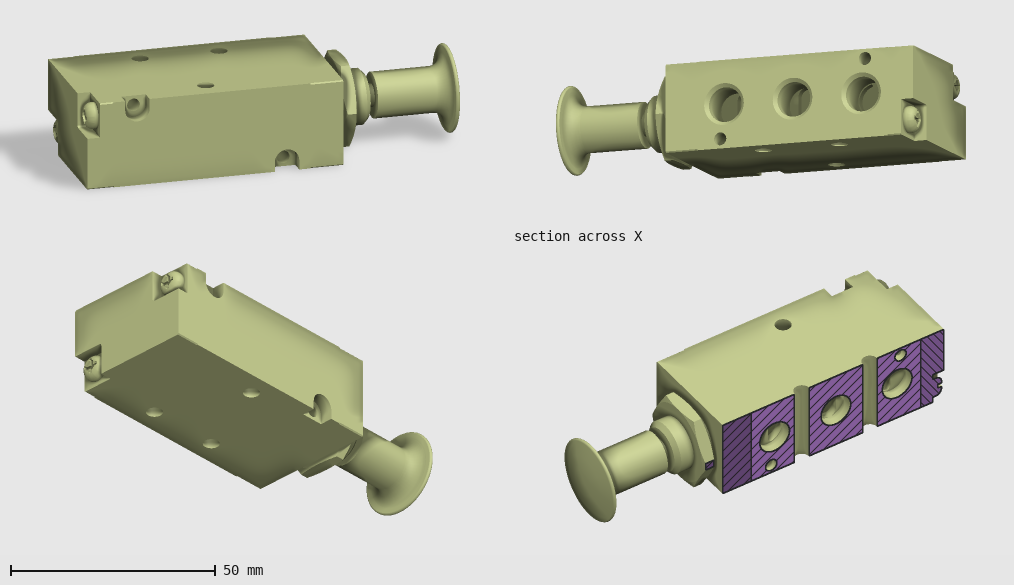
import cadquery as cq
import math


WIDTH = 35.0
HEIGHT = 22.0
FRONT_CAP_LENGTH = 6.7
BODY_LENGTH = 50.0
REAR_CAP_LENGTH = 8.3
CAP_EDGE_CHAMFER = 0.3

BODY_FRONT = FRONT_CAP_LENGTH
BODY_REAR = BODY_FRONT + BODY_LENGTH
CAP_REAR = BODY_REAR + REAR_CAP_LENGTH
BODY_MIDDLE = (BODY_FRONT + BODY_REAR) / 2
AXIS_Z = HEIGHT / 2
LEFT = -WIDTH / 2
RIGHT = WIDTH / 2

PORT_DIAMETER = 8.6
PORT_MOUTH_DIAMETER = 10.4
PORT_DEPTH = 9.0
PORT_PITCH = 18.0
PASSAGE_WIDTH = 4.0
PASSAGE_DEPTH = 2.0
OUTER_PASSAGE_REACH = 4.0
OUTER_PASSAGE_OFFSET = PASSAGE_WIDTH / 2

MOUNT_DIAMETER = 4.2
MOUNT_PAIR_PITCH = 20.0
MOUNT_LEFT_X = LEFT + 6.0
MOUNT_RIGHT_X = RIGHT - 5.8

CROSS_DIAMETER = 3.2
CROSS_BORE_DIAMETER = 6.2
CROSS_BORE_DEPTH = 3.5
CROSS_PITCH_Y = 38.0
CROSS_EDGE_DISTANCE = 2.4

POCKET_SIZE = 8.8
POCKET_DEPTH = 3.2
POCKET_FILLET = 0.6
SCREW_EDGE_DISTANCE = 4.5
SCREW_HEAD_DIAMETER = 6.6
SCREW_HEAD_HEIGHT = 2.7
SCREW_HEAD_FILLET = 1.9
CROSS_SLOT_LENGTH = 4.1
CROSS_SLOT_WIDTH = 0.9
CROSS_SLOT_DEPTH = 1.2
DRIVE_CORE_DEPTH = 0.6

NECK_DIAMETER = 14.0
NECK_LENGTH = 10.3
NECK_CHAMFER = 1.2
NUT_ACROSS_FLATS = 21.0
NUT_THICKNESS = 3.3
NUT_GAP = 2.1
NUT_CHAMFER_ANGLE = 20.0

STEM_DIAMETER = 5.7
STEM_LENGTH = 1.9
GRIP_DIAMETER = 11.5
KNOB_DIAMETER = 22.0
GRIP_LENGTH = 18.4
RIM_THICKNESS = 1.0
DOME_HEIGHT = 1.7
GRIP_FLARE_RADIUS = 3.4
RIM_FILLET = 0.4


def end_cap(rear_y, length):
    """Block with chamfered long edges, reaching forward from rear_y."""
    block = cq.Workplane("XZ", origin=(0, rear_y, AXIS_Z)).rect(WIDTH, HEIGHT).extrude(length)
    return block.edges("|Y").chamfer(CAP_EDGE_CHAMFER)


def cylinder_along_x(x, y, z, diameter, length):
    return cq.Workplane("YZ", origin=(x, y, z)).circle(diameter / 2).extrude(length)


def cylinder_along_y(y, diameter, length):
    return cq.Workplane("XZ", origin=(0, y, AXIS_Z)).circle(diameter / 2).extrude(-length)



def port_cutter(y, passage_offset, passage_reach):
    """Port with a chamfered mouth and, in its floor, a passage kept within a given radius."""
    port = cylinder_along_x(LEFT, y, AXIS_Z, PORT_DIAMETER, PORT_DEPTH)
    mouth_depth = (PORT_MOUTH_DIAMETER - PORT_DIAMETER) / 2
    mouth = cq.Solid.makeCone(
        PORT_MOUTH_DIAMETER / 2,
        PORT_DIAMETER / 2,
        mouth_depth,
        pnt=cq.Vector(LEFT, y, AXIS_Z),
        dir=cq.Vector(1, 0, 0),
    )
    floor_x = LEFT + PORT_DEPTH
    slot = (
        cq.Workplane("YZ", origin=(floor_x, y + passage_offset, AXIS_Z))
        .slot2D(PORT_DIAMETER, PASSAGE_WIDTH, 90)
        .extrude(PASSAGE_DEPTH)
    )
    reach_limit = cylinder_along_x(floor_x, y, AXIS_Z, 2 * passage_reach, PASSAGE_DEPTH)
    return port.union(cq.Workplane(mouth)).union(slot.intersect(reach_limit))


def cross_hole_cutter(y, z, nearest_face_z):
    """Through hole with a U-shaped counterbore that opens into the nearest flat face."""
    bore_start = RIGHT - CROSS_BORE_DEPTH
    hole = cylinder_along_x(LEFT, y, z, CROSS_DIAMETER, WIDTH)
    bore = cylinder_along_x(bore_start, y, z, CROSS_BORE_DIAMETER, CROSS_BORE_DEPTH)
    opening = (
        cq.Workplane("YZ", origin=(bore_start, y, (z + nearest_face_z) / 2))
        .rect(CROSS_BORE_DIAMETER, CROSS_EDGE_DISTANCE)
        .extrude(CROSS_BORE_DEPTH)
    )
    return hole.union(bore).union(opening)


def make_body():
    body = cq.Workplane("XZ", origin=(0, BODY_REAR, AXIS_Z)).rect(WIDTH, HEIGHT).extrude(BODY_LENGTH)

    body = body.cut(port_cutter(BODY_MIDDLE, 0, PORT_DIAMETER / 2))
    for side in (-1, 1):
        port_y = BODY_MIDDLE + side * PORT_PITCH
        body = body.cut(port_cutter(port_y, -side * OUTER_PASSAGE_OFFSET, OUTER_PASSAGE_REACH))

    mount_points = [
        (MOUNT_LEFT_X, BODY_MIDDLE - MOUNT_PAIR_PITCH / 2),
        (MOUNT_LEFT_X, BODY_MIDDLE + MOUNT_PAIR_PITCH / 2),
        (MOUNT_RIGHT_X, BODY_MIDDLE),
    ]
    mounts = cq.Workplane("XY").pushPoints(mount_points).circle(MOUNT_DIAMETER / 2).extrude(HEIGHT)
    body = body.cut(mounts)

    front_hole_y = BODY_MIDDLE - CROSS_PITCH_Y / 2
    rear_hole_y = BODY_MIDDLE + CROSS_PITCH_Y / 2
    body = body.cut(cross_hole_cutter(front_hole_y, HEIGHT - CROSS_EDGE_DISTANCE, HEIGHT))
    return body.cut(cross_hole_cutter(rear_hole_y, CROSS_EDGE_DISTANCE, 0))



def screw_head(x, z):
    """Pan head standing on the pocket floor, with a cross recess around a square core."""
    head = (
        cq.Workplane("XZ", origin=(x, POCKET_DEPTH, z))
        .circle(SCREW_HEAD_DIAMETER / 2)
        .extrude(SCREW_HEAD_HEIGHT)
        .faces("<Y")
        .edges()
        .fillet(SCREW_HEAD_FILLET)
    )
    head_top = cq.Workplane("XZ", origin=(x, POCKET_DEPTH - SCREW_HEAD_HEIGHT, z))
    for length_x, length_z in (
        (CROSS_SLOT_LENGTH, CROSS_SLOT_WIDTH),
        (CROSS_SLOT_WIDTH, CROSS_SLOT_LENGTH),
    ):
        head = head.cut(head_top.rect(length_x, length_z).extrude(-CROSS_SLOT_DEPTH))
    return head.cut(head_top.polygon(4, CROSS_SLOT_LENGTH).extrude(-DRIVE_CORE_DEPTH))


def make_front_cap():
    cap = end_cap(BODY_FRONT, FRONT_CAP_LENGTH)
    for side in (-1, 1):
        corner_x = side * WIDTH / 2
        corner_z = AXIS_Z + side * HEIGHT / 2
        pocket = (
            cq.Workplane("XZ", origin=(corner_x, 0, corner_z))
            .rect(2 * POCKET_SIZE, 2 * POCKET_SIZE)
            .extrude(-POCKET_DEPTH)
            .edges("|Y")
            .fillet(POCKET_FILLET)
        )
        cap = cap.cut(pocket)
        screw_x = corner_x - side * SCREW_EDGE_DISTANCE
        screw_z = corner_z - side * SCREW_EDGE_DISTANCE
        cap = cap.union(screw_head(screw_x, screw_z))
    return cap



def make_nut(front_y):
    """Hexagon nut with corners pointing along X and conical chamfers on both faces."""
    across_corners = NUT_ACROSS_FLATS / math.cos(math.pi / 6)
    flat_radius = NUT_ACROSS_FLATS / 2
    corner_radius = across_corners / 2
    corner_drop = (corner_radius - flat_radius) * math.tan(math.radians(NUT_CHAMFER_ANGLE))
    hexagon = (
        cq.Workplane("XZ", origin=(0, front_y, AXIS_Z))
        .polygon(6, across_corners)
        .extrude(-NUT_THICKNESS)
    )
    turned_blank = (
        cq.Workplane("XY", origin=(0, front_y, AXIS_Z))
        .moveTo(0, 0)
        .lineTo(flat_radius, 0)
        .lineTo(corner_radius, corner_drop)
        .lineTo(corner_radius, NUT_THICKNESS - corner_drop)
        .lineTo(flat_radius, NUT_THICKNESS)
        .lineTo(0, NUT_THICKNESS)
        .close()
        .revolve(360, (0, 0), (0, 1))
    )
    return hexagon.intersect(turned_blank)


def make_rear_cap():
    cap = end_cap(CAP_REAR, REAR_CAP_LENGTH)
    neck = cylinder_along_y(CAP_REAR, NECK_DIAMETER, NECK_LENGTH).faces(">Y").chamfer(NECK_CHAMFER)
    return cap.union(neck).union(make_nut(CAP_REAR + NUT_GAP))



def make_knob():
    """Turned knob: stem, grip flaring into the disc, and a domed top."""
    stem_radius = STEM_DIAMETER / 2
    grip_radius = GRIP_DIAMETER / 2
    knob_radius = KNOB_DIAMETER / 2
    flare_outer_radius = grip_radius + GRIP_FLARE_RADIUS
    rim_inner_radius = knob_radius - RIM_FILLET

    grip_start = STEM_LENGTH
    disc_start = grip_start + GRIP_LENGTH
    flare_start = disc_start - GRIP_FLARE_RADIUS
    rim_end = disc_start + RIM_THICKNESS
    top = rim_end + DOME_HEIGHT

    flare_mid_radius = flare_outer_radius - GRIP_FLARE_RADIUS * math.cos(math.pi / 4)
    flare_mid_y = flare_start + GRIP_FLARE_RADIUS * math.sin(math.pi / 4)

    sphere_radius = (rim_inner_radius**2 + DOME_HEIGHT**2) / (2 * DOME_HEIGHT)
    dome_mid_radius = rim_inner_radius / 2
    dome_mid_y = top - sphere_radius + math.sqrt(sphere_radius**2 - dome_mid_radius**2)

    rim_mid_y = (disc_start + rim_end) / 2
    return (
        cq.Workplane("XY", origin=(0, CAP_REAR + NECK_LENGTH, AXIS_Z))
        .moveTo(0, 0)
        .lineTo(stem_radius, 0)
        .lineTo(stem_radius, grip_start)
        .lineTo(grip_radius, grip_start)
        .lineTo(grip_radius, flare_start)
        .threePointArc((flare_mid_radius, flare_mid_y), (flare_outer_radius, disc_start))
        .lineTo(rim_inner_radius, disc_start)
        .threePointArc((knob_radius, rim_mid_y), (rim_inner_radius, rim_end))
        .threePointArc((dome_mid_radius, dome_mid_y), (0, top))
        .close()
        .revolve(360, (0, 0), (0, 1))
    )


body = make_body()
front_cap = make_front_cap()
rear_cap = make_rear_cap()
knob = make_knob()

result = cq.Compound.makeCompound([body.val(), front_cap.val(), rear_cap.val(), knob.val()])